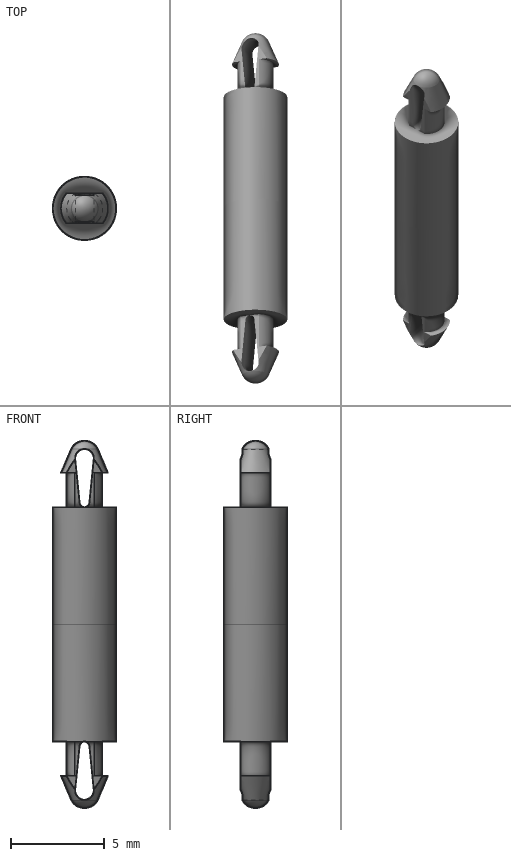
import cadquery as cq
import math

total_length = 19.6
body_diameter = 3.4
body_length = 12.5

shank_radius = 0.96
clip_thickness = 1.6
barb_radius = 1.25
dome_base_radius = 0.7
dome_height = 0.43
barb_drop = 1.72

slot_top_radius = 0.49
slot_bottom_radius = 0.25
slot_top_drop = 0.45

tip_z = total_length / 2
shoulder_z = body_length / 2
barb_z = tip_z - barb_drop
dome_base_z = tip_z - dome_height


def make_clip_blank():
    """Revolved shank, barb cone and domed tip, trimmed by two flats."""
    dome_radius = (dome_base_radius**2 + dome_height**2) / (2 * dome_height)
    dome_center_z = tip_z - dome_radius
    half_angle = math.asin(dome_base_radius / dome_radius) / 2
    dome_middle = (
        dome_radius * math.sin(half_angle),
        dome_center_z + dome_radius * math.cos(half_angle),
    )
    blank = (
        cq.Workplane("XZ")
        .moveTo(0, shoulder_z)
        .lineTo(shank_radius, shoulder_z)
        .lineTo(shank_radius, barb_z)
        .lineTo(barb_radius, barb_z)
        .lineTo(dome_base_radius, dome_base_z)
        .threePointArc(dome_middle, (0, tip_z))
        .close()
        .revolve(360, (0, 0, 0), (0, 1, 0))
    )
    flats = cq.Workplane("XY").box(2 * barb_radius, clip_thickness, total_length)
    return blank.intersect(flats)


def make_slot():
    """Two arcs joined by tangent sides, extruded through the clip along Y."""
    top_center_z = tip_z - slot_top_drop - slot_top_radius
    bottom_center_z = shoulder_z + slot_bottom_radius
    taper = math.asin((slot_top_radius - slot_bottom_radius) / (top_center_z - bottom_center_z))
    top_x = slot_top_radius * math.cos(taper)
    top_z = top_center_z - slot_top_radius * math.sin(taper)
    bottom_x = slot_bottom_radius * math.cos(taper)
    bottom_z = bottom_center_z - slot_bottom_radius * math.sin(taper)
    return (
        cq.Workplane("XZ")
        .moveTo(bottom_x, bottom_z)
        .lineTo(top_x, top_z)
        .threePointArc((0, top_center_z + slot_top_radius), (-top_x, top_z))
        .lineTo(-bottom_x, bottom_z)
        .threePointArc((0, shoulder_z), (bottom_x, bottom_z))
        .close()
        .extrude(clip_thickness, both=True)
    )


body = cq.Workplane("XY").circle(body_diameter / 2).extrude(shoulder_z, both=True)
upper_clip = make_clip_blank().cut(make_slot())
lower_clip = upper_clip.mirror("XY")

result = body.union(upper_clip).union(lower_clip)